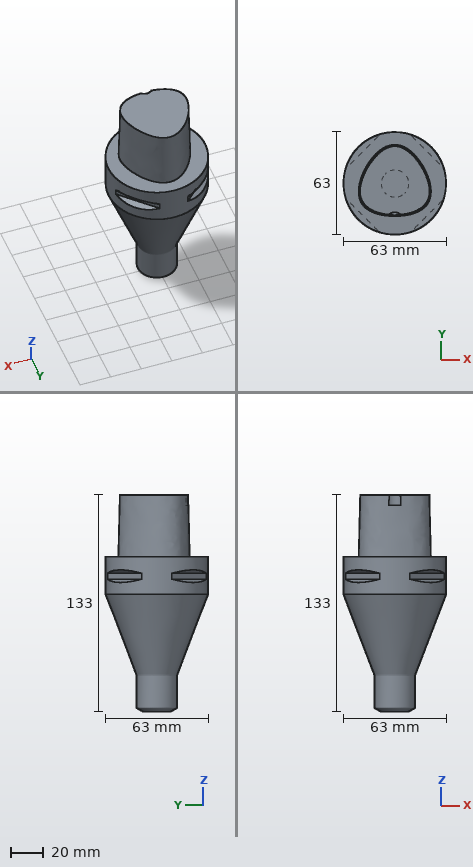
import cadquery as cq
import math

total_height = 133.0
collar_top = 95.1
collar_bottom = 72.0
cone_bottom = 22.5

collar_diameter = 63.0
nose_diameter = 25.0
nose_tip_diameter = 16.8
nose_chamfer_angle = 30.0
nose_edge_radius = 0.8
cone_blend_radius = 2.4

lobe_mean_radius = 22.0
lobe_eccentricity = 1.7
shank_taper = 1 / 20
outline_points = 48
shank_height = total_height - collar_top

notch_radius = 4.9
notch_depth = 6.5
notch_inner_y = -17.7

slot_count = 4
slot_first_angle = 45.0
slot_z = 83.1
slot_floor_height = 3.5
slot_depth = 3.7
slot_flank_angle = 30.0


def make_body():
    """Collar, cone and chamfered nose turned about Z."""
    collar_radius = collar_diameter / 2
    nose_radius = nose_diameter / 2
    tip_radius = nose_tip_diameter / 2
    chamfer_height = (nose_radius - tip_radius) * math.tan(math.radians(nose_chamfer_angle))
    body = (
        cq.Workplane("XZ")
        .moveTo(0, 0)
        .lineTo(tip_radius, 0)
        .lineTo(nose_radius, chamfer_height)
        .lineTo(nose_radius, cone_bottom)
        .lineTo(collar_radius, collar_bottom)
        .lineTo(collar_radius, collar_top)
        .lineTo(0, collar_top)
        .close()
        .revolve(360, (0, 0, 0), (0, 1, 0))
    )

    chamfer_corner = cq.selectors.NearestToPointSelector((-nose_radius, 0, chamfer_height))
    cone_corner = cq.selectors.NearestToPointSelector((-nose_radius, 0, cone_bottom))
    body = body.edges("%CIRCLE").edges(chamfer_corner).fillet(nose_edge_radius)
    return body.edges("%CIRCLE").edges(cone_corner).fillet(cone_blend_radius)


def lobed_point(mean_radius, turn):
    """Point on the hypotrochoid outline; turn runs from 0 to 1 and starts at the +Y lobe."""
    angle = 2 * math.pi * turn
    x = -mean_radius * math.sin(angle) + lobe_eccentricity * math.sin(2 * angle)
    y = mean_radius * math.cos(angle) + lobe_eccentricity * math.cos(2 * angle)
    return x, y


def lobed_wire(mean_radius, z):
    """Closed smooth lobed outline at height z."""
    points = []
    for index in range(outline_points):
        x, y = lobed_point(mean_radius, index / outline_points)
        points.append(cq.Vector(x, y, z))
    return cq.Wire.assembleEdges([cq.Edge.makeSpline(points, periodic=True)])


def make_shank():
    """Loft between the lobed outlines at the collar and at the top."""
    top_mean_radius = lobe_mean_radius - shank_height * shank_taper / 2
    base_outline = lobed_wire(lobe_mean_radius, collar_top)
    top_outline = lobed_wire(top_mean_radius, total_height)
    return cq.Workplane(cq.Solid.makeLoft([base_outline, top_outline], True))


def make_notch():
    """Round-backed notch cutter, open at the top and on the -Y side."""
    return (
        cq.Workplane("XY", origin=(0, notch_inner_y - notch_radius, total_height - notch_depth))
        .circle(notch_radius)
        .extrude(notch_depth)
    )


def make_slot(angle):
    """Straight slot cutter with flared flanks, tangential to the collar."""
    floor_x = collar_diameter / 2 - slot_depth
    floor_half = slot_floor_height / 2
    mouth_half = floor_half + slot_depth * math.tan(math.radians(slot_flank_angle))
    return (
        cq.Workplane("XZ")
        .moveTo(floor_x, slot_z - floor_half)
        .lineTo(collar_diameter / 2, slot_z - mouth_half)
        .lineTo(collar_diameter / 2, slot_z + mouth_half)
        .lineTo(floor_x, slot_z + floor_half)
        .close()
        .extrude(collar_diameter / 2, both=True)
        .rotate((0, 0, 0), (0, 0, 1), angle)
    )


result = make_body().union(make_shank()).cut(make_notch())
for slot_index in range(slot_count):
    slot_angle = slot_first_angle + slot_index * 360 / slot_count
    result = result.cut(make_slot(slot_angle))